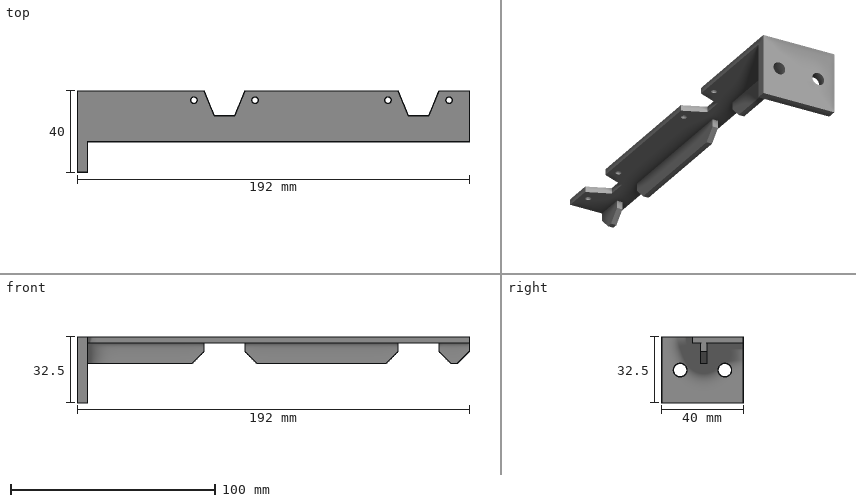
import cadquery as cq

length = 192.0
width = 40.0
height = 32.5

flange_thickness = 5.0
flange_hole_diameter = 6.5
flange_hole_spacing = 21.9

plate_width = 25.0
plate_thickness = 3.0

notch_pitch = 95.0
first_notch_center = 72.0
notch_centers = [first_notch_center, first_notch_center + notch_pitch]
notch_mouth = 20.0
notch_floor = 10.0
notch_depth = 12.0
small_hole_diameter = 3.0
small_hole_spacing = 30.0
small_hole_edge_distance = 4.6

rib_setback = 4.0
rib_thickness = 3.0
rib_height = 10.0
rib_chamfer = 6.0

plate_front = width - plate_width
rib_front = plate_front + rib_setback
rib_bottom = -plate_thickness - rib_height


def make_flange():
    flange = cq.Workplane("XY").box(flange_thickness, width, height, centered=False)
    flange = flange.translate((0, 0, -height))
    holes = (
        cq.Workplane("YZ", origin=(0, width / 2, -height / 2))
        .rarray(flange_hole_spacing, 2, 2, 1)
        .circle(flange_hole_diameter / 2)
        .extrude(flange_thickness)
    )
    return flange.cut(holes)


def make_plate():
    plate = cq.Workplane("XY").box(length, plate_width, plate_thickness, centered=False)
    plate = plate.translate((0, plate_front, -plate_thickness))
    for center in notch_centers:
        notch = (
            cq.Workplane("XY", origin=(center, width, 0))
            .polyline([
                (-notch_mouth / 2, 0),
                (-notch_floor / 2, -notch_depth),
                (notch_floor / 2, -notch_depth),
                (notch_mouth / 2, 0),
            ])
            .close()
            .extrude(-plate_thickness)
        )
        holes = (
            cq.Workplane("XY", origin=(center, width - small_hole_edge_distance, 0))
            .rarray(small_hole_spacing, 2, 2, 1)
            .circle(small_hole_diameter / 2)
            .extrude(-plate_thickness)
        )
        plate = plate.cut(notch).cut(holes)
    return plate


def make_rib(start, end, chamfered_edges):
    """Rib segment between two X positions, with its chosen lower corners cut at 45 degrees."""
    rib = cq.Workplane("XY").box(end - start, rib_thickness, rib_height, centered=False)
    rib = rib.translate((start, rib_front, rib_bottom))
    return rib.faces("<Z").edges(chamfered_edges).chamfer(rib_chamfer)


result = make_flange().union(make_plate())

rib_starts = [flange_thickness] + [center + notch_mouth / 2 for center in notch_centers]
rib_ends = [center - notch_mouth / 2 for center in notch_centers] + [length]
for start, end in zip(rib_starts, rib_ends):
    joins_flange = start == flange_thickness
    chamfered_edges = ">X" if joins_flange else "<X or >X"
    result = result.union(make_rib(start, end, chamfered_edges))